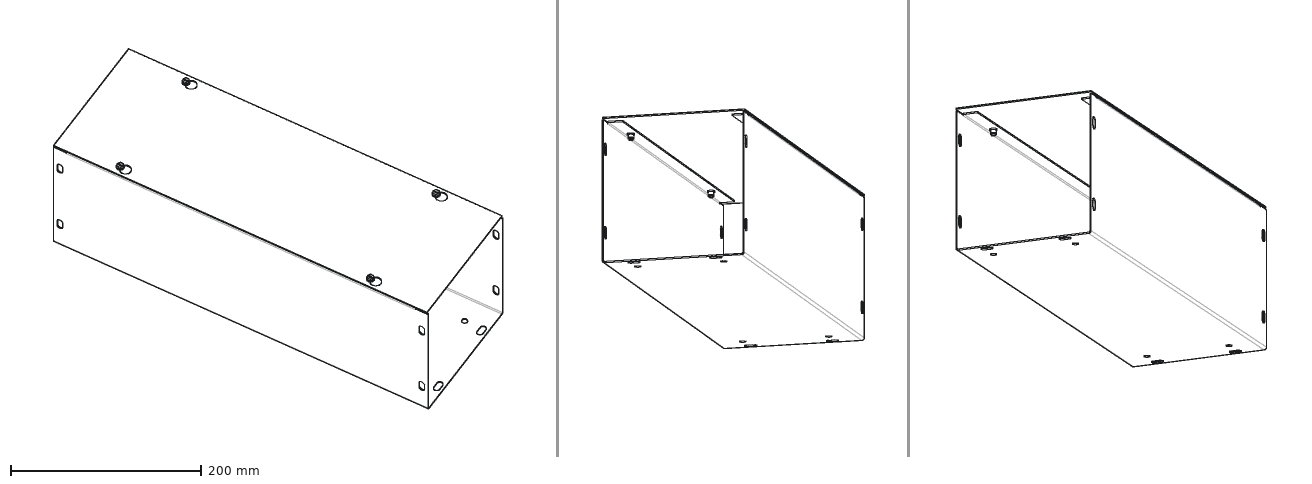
import cadquery as cq
import math

LENGTH = 457.0
WIDTH = 155.5
OVERALL_HEIGHT = 160.5
SHEET = 1.5
BEND_RADIUS = 2.7
COVER_TOP = 157.0
TROUGH_TOP = COVER_TOP - SHEET
FLANGE_UNDERSIDE = TROUGH_TOP - SHEET

FLANGE_WIDTH = 18.0
FLANGE_END_RELIEF = 15.5

COVER_LENGTH = 456.0

SLOT_WIDTH = 7.0
SLOT_LENGTH = 13.3
WALL_SLOT_END_DISTANCE = 8.0
FLOOR_SLOT_END_DISTANCE = 7.0
SLOT_SPACING = 89.5
WALL_SLOT_MID_HEIGHT = 78.5

FLOOR_HOLE_DIAMETER = 6.5
FLOOR_HOLE_END_DISTANCE = 29.0
FLOOR_HOLE_SPACING = 94.0

SCREW_END_DISTANCE = 76.0
SCREW_Y = 68.0
SHANK_DIAMETER = 4.5
TIP_DIAMETER = 4.05
TIP_LENGTH = 2.7
WASHER_DIAMETER = 8.5
WASHER_THICKNESS = 1.5
HEAD_ACROSS_FLATS = 6.5
HEAD_ACROSS_CORNERS = HEAD_ACROSS_FLATS / math.cos(math.pi / 6)
HEAD_SLOT_LENGTH = 4.5
HEAD_SLOT_WIDTH = 1.0
HEAD_SLOT_DEPTH = 1.0
SCREW_TIP_Z = 146.8

BOSS_DIAMETER = 6.5
BOSS_BOTTOM = 148.0
COLLAR_DIAMETER = 8.0
COLLAR_THICKNESS = 1.5

KEYHOLE_DIAMETER = 12.5
KEYHOLE_OFFSET = 6.5
KEYHOLE_NECK_WIDTH = 6.5

END_SIDES = (-1, 1)
WALL_SIDES = (-1, 1)
SCREW_POINTS = [
    (x_side * (LENGTH / 2 - SCREW_END_DISTANCE), y_side * SCREW_Y)
    for x_side in END_SIDES
    for y_side in WALL_SIDES
]


def folded_shell():
    """Floor, two walls and two full-length flanges with rounded bends."""
    outer = (
        cq.Workplane("XY")
        .box(LENGTH, WIDTH, TROUGH_TOP, centered=(True, True, False))
        .edges("|X")
        .fillet(BEND_RADIUS)
    )
    inner = (
        cq.Workplane("XY")
        .box(LENGTH, WIDTH - 2 * SHEET, TROUGH_TOP - 2 * SHEET, centered=(True, True, False))
        .edges("|X")
        .fillet(BEND_RADIUS - SHEET)
        .translate((0, 0, SHEET))
    )
    opening = cq.Workplane("XY").box(
        LENGTH, WIDTH - 2 * FLANGE_WIDTH, TROUGH_TOP, centered=(True, True, False)
    )
    return outer.cut(inner).cut(opening.translate((0, 0, TROUGH_TOP / 2)))


def end_blocks(depth, bottom, top):
    """Blocks across both ends of the trough that reach in from each wall's outer side by the given depth."""
    blocks = cq.Workplane("XY", origin=(0, 0, bottom)).pushPoints(
        [
            (x_side * (LENGTH - FLANGE_END_RELIEF) / 2, y_side * (WIDTH - depth) / 2)
            for x_side in END_SIDES
            for y_side in WALL_SIDES
        ]
    )
    return blocks.rect(FLANGE_END_RELIEF, depth).extrude(top - bottom)


def folded_channel():
    """Folded shell whose flanges stop short of the ends, where the walls stay straight."""
    bend_start = TROUGH_TOP - BEND_RADIUS
    removed_flange_ends = end_blocks(FLANGE_WIDTH, bend_start, TROUGH_TOP)
    straight_wall_ends = end_blocks(SHEET, bend_start, FLANGE_UNDERSIDE)
    return folded_shell().cut(removed_flange_ends).union(straight_wall_ends)


def slot_points(end_distance, middle):
    """Places of four slots, one pair near each end."""
    return [
        (x_side * (LENGTH / 2 - end_distance), middle + side * SLOT_SPACING / 2)
        for x_side in END_SIDES
        for side in (-1, 1)
    ]


def wall_slots():
    """Upright slots through both walls."""
    return (
        cq.Workplane("XZ")
        .pushPoints(slot_points(WALL_SLOT_END_DISTANCE, WALL_SLOT_MID_HEIGHT))
        .slot2D(SLOT_LENGTH, SLOT_WIDTH, 90)
        .extrude(WIDTH / 2, both=True)
    )


def floor_openings():
    """Crosswise slots and round holes through the floor."""
    slots = (
        cq.Workplane("XY")
        .pushPoints(slot_points(FLOOR_SLOT_END_DISTANCE, 0))
        .slot2D(SLOT_LENGTH, SLOT_WIDTH, 90)
        .extrude(SHEET)
    )
    holes = (
        cq.Workplane("XY")
        .rect(LENGTH - 2 * FLOOR_HOLE_END_DISTANCE, FLOOR_HOLE_SPACING, forConstruction=True)
        .vertices()
        .circle(FLOOR_HOLE_DIAMETER / 2)
        .extrude(SHEET)
    )
    return slots.union(holes)


def discs_at_screws(diameter, bottom, top):
    """One upright cylinder on each screw axis."""
    return (
        cq.Workplane("XY", origin=(0, 0, bottom))
        .pushPoints(SCREW_POINTS)
        .circle(diameter / 2)
        .extrude(top - bottom)
    )


def make_trough():
    """Open-ended sheet-metal channel with screw bosses under its flanges."""
    collars = discs_at_screws(COLLAR_DIAMETER, FLANGE_UNDERSIDE - COLLAR_THICKNESS, FLANGE_UNDERSIDE)
    bosses = discs_at_screws(BOSS_DIAMETER, BOSS_BOTTOM, FLANGE_UNDERSIDE)
    screw_holes = discs_at_screws(SHANK_DIAMETER, BOSS_BOTTOM, TROUGH_TOP)
    return (
        folded_channel()
        .cut(wall_slots())
        .cut(floor_openings())
        .union(collars)
        .union(bosses)
        .cut(screw_holes)
    )


def make_cover():
    """Flat lid with a keyhole at each screw: a narrow neck that opens into a larger entry hole."""
    base = cq.Workplane("XY", origin=(0, 0, TROUGH_TOP))
    plate = base.center((COVER_LENGTH - LENGTH) / 2, 0).rect(COVER_LENGTH, WIDTH).extrude(SHEET)
    seats = discs_at_screws(KEYHOLE_NECK_WIDTH, TROUGH_TOP, COVER_TOP)
    necks = (
        base.pushPoints([(x + KEYHOLE_OFFSET / 2, y) for x, y in SCREW_POINTS])
        .rect(KEYHOLE_OFFSET, KEYHOLE_NECK_WIDTH)
        .extrude(SHEET)
    )
    entries = discs_at_screws(KEYHOLE_DIAMETER, TROUGH_TOP, COVER_TOP).translate((KEYHOLE_OFFSET, 0, 0))
    return plate.cut(seats).cut(necks).cut(entries)


def make_screw(x, y):
    """Hex washer-head screw with a short blind slot and a slightly thinner tip."""
    head_bottom = COVER_TOP + WASHER_THICKNESS
    tip = cq.Workplane("XY").circle(TIP_DIAMETER / 2).extrude(TIP_LENGTH)
    shank = (
        cq.Workplane("XY", origin=(0, 0, TIP_LENGTH))
        .circle(SHANK_DIAMETER / 2)
        .extrude(COVER_TOP - SCREW_TIP_Z - TIP_LENGTH)
    )
    shaft = tip.union(shank).translate((0, 0, SCREW_TIP_Z))
    washer = (
        cq.Workplane("XY", origin=(0, 0, COVER_TOP))
        .circle(WASHER_DIAMETER / 2)
        .extrude(WASHER_THICKNESS)
    )
    head = (
        cq.Workplane("XY", origin=(0, 0, head_bottom))
        .polygon(6, HEAD_ACROSS_CORNERS)
        .extrude(OVERALL_HEIGHT - head_bottom)
    )
    slot = (
        cq.Workplane("XY", origin=(0, 0, OVERALL_HEIGHT))
        .rect(HEAD_SLOT_LENGTH, HEAD_SLOT_WIDTH)
        .extrude(-HEAD_SLOT_DEPTH)
    )
    return shaft.union(washer).union(head).cut(slot).translate((x, y, 0))


trough = make_trough()
cover = make_cover()
screws = [make_screw(x, y) for x, y in SCREW_POINTS]

result = cq.Compound.makeCompound(
    [
        trough.solids().val(),
        cover.solids().val(),
        *[screw.solids().val() for screw in screws],
    ]
)